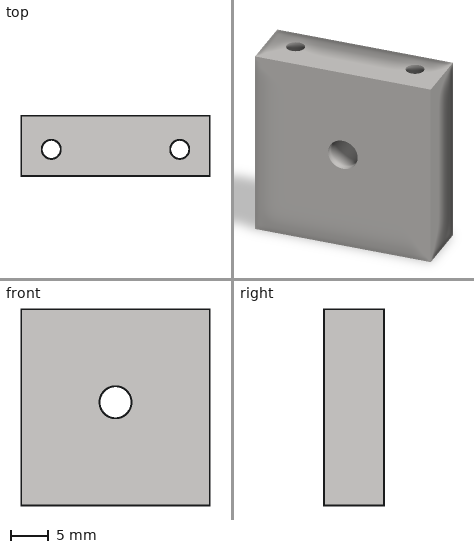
import cadquery as cq

width = 25.0
depth = 8.0
height = 26.0

bore_diameter = 4.2
bore_height = 13.68

pin_hole_diameter = 2.5
pin_hole_spacing = 17.0
pin_hole_from_front = 3.54

block = cq.Workplane("XY").box(width, depth, height, centered=(True, False, False))

bore = (
    cq.Workplane("XZ")
    .center(0, bore_height)
    .circle(bore_diameter / 2)
    .extrude(-depth)
)

pin_holes = (
    cq.Workplane("XY")
    .pushPoints([(side * pin_hole_spacing / 2, pin_hole_from_front) for side in (-1, 1)])
    .circle(pin_hole_diameter / 2)
    .extrude(height)
)

result = block.cut(bore).cut(pin_holes)